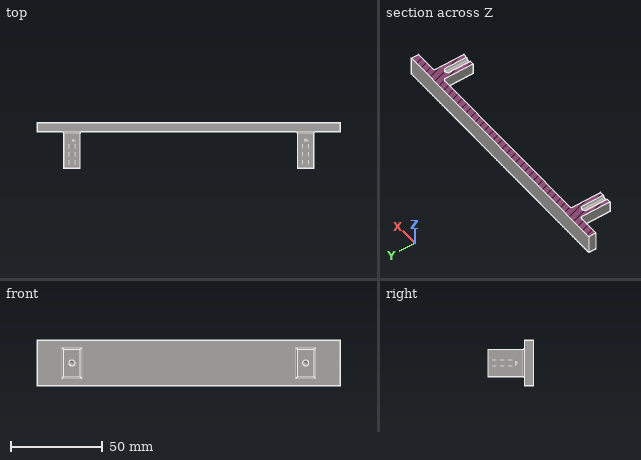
import cadquery as cq

plate_length = 166.0
plate_thickness = 5.0
plate_height = 25.0

overall_depth = 25.0
post_spacing = 128.0
post_width = 9.0
post_height = 15.0
post_length = overall_depth - plate_thickness
root_fillet = 1.0

hole_diameter = 3.3
hole_depth = 15.0
drill_point_length = 1.0

back_y = overall_depth / 2
plate_front_y = back_y - plate_thickness
post_end_y = -overall_depth / 2
post_centers_x = (-post_spacing / 2, post_spacing / 2)


def make_plate():
    center_y = (back_y + plate_front_y) / 2
    return cq.Workplane("XY").box(plate_length, plate_thickness, plate_height).translate((0, center_y, 0))


def make_post(x):
    center_y = (plate_front_y + post_end_y) / 2
    return cq.Workplane("XY").box(post_width, post_length, post_height).translate((x, center_y, 0))


def fillet_post_root(body, x):
    """Round the four inner edges where a post meets the plate."""
    half_x = post_width / 2 + root_fillet
    half_z = post_height / 2 + root_fillet
    root_box = cq.selectors.BoxSelector(
        (x - half_x, plate_front_y - root_fillet, -half_z),
        (x + half_x, plate_front_y + root_fillet, half_z),
    )
    return body.edges(root_box).fillet(root_fillet)


def make_screw_hole(x):
    """Cylinder with a conical tip, revolved about the post axis."""
    radius = hole_diameter / 2
    return (
        cq.Workplane("XY", origin=(x, post_end_y, 0))
        .polyline([(0, 0), (radius, 0), (radius, hole_depth), (0, hole_depth + drill_point_length)])
        .close()
        .revolve(360, (0, 0, 0), (0, 1, 0))
    )


result = make_plate()
for post_x in post_centers_x:
    result = result.union(make_post(post_x))
    result = fillet_post_root(result, post_x)
    result = result.cut(make_screw_hole(post_x))